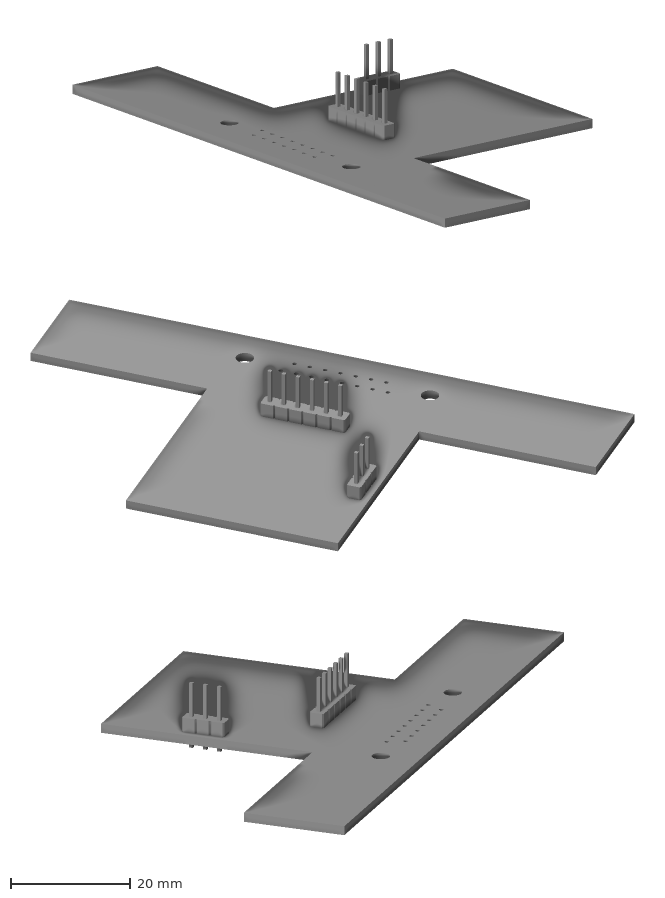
import cadquery as cq

board_length = 101.6
strip_depth = 18.1
tab_size = 38.1
board_thickness = 1.6

connector_x = -0.08
connector_y = 6.93
contact_hole_diameter = 0.76
contact_pitch = 2.75
row_spacing = 2.84
back_row_count = 8
front_row_count = 7
mounting_hole_count = 2
mounting_hole_diameter = 3.1
mounting_hole_spacing = 33.28
mounting_hole_y = 6.735

pin_pitch = 2.54
pin_width = 0.64
pin_above_housing = 6.0
pin_below_housing = 3.0
pin_hole_diameter = 1.0
housing_width = pin_pitch
housing_height = 2.54
housing_chamfer = 0.254

long_header_pins = 6
long_header_center = (0.0, 21.85)
short_header_pins = 3
short_header_center = (-16.5, 38.35)


def row_offsets(count, pitch):
    """Offsets of an evenly spaced row from its middle."""
    return [(i - (count - 1) / 2) * pitch for i in range(count)]


def row_along_x(center, count, pitch):
    return [(center[0] + offset, center[1]) for offset in row_offsets(count, pitch)]


def row_along_y(center, count, pitch):
    return [(center[0], center[1] + offset) for offset in row_offsets(count, pitch)]


def drill(body, points, diameter):
    """Cut through holes of one diameter at the given points."""
    drills = (
        cq.Workplane("XY")
        .pushPoints(points)
        .circle(diameter / 2)
        .extrude(-board_thickness)
    )
    return body.cut(drills)


def make_board(header_points):
    half_length = board_length / 2
    half_tab = tab_size / 2
    board = (
        cq.Workplane("XY")
        .moveTo(-half_length, 0)
        .lineTo(half_length, 0)
        .lineTo(half_length, strip_depth)
        .lineTo(half_tab, strip_depth)
        .lineTo(half_tab, strip_depth + tab_size)
        .lineTo(-half_tab, strip_depth + tab_size)
        .lineTo(-half_tab, strip_depth)
        .lineTo(-half_length, strip_depth)
        .close()
        .extrude(-board_thickness)
    )
    back_row = (connector_x, connector_y + row_spacing / 2)
    front_row = (connector_x, connector_y - row_spacing / 2)
    contacts = row_along_x(back_row, back_row_count, contact_pitch)
    contacts += row_along_x(front_row, front_row_count, contact_pitch)
    mountings = row_along_x((0, mounting_hole_y), mounting_hole_count, mounting_hole_spacing)

    board = drill(board, contacts, contact_hole_diameter)
    board = drill(board, mountings, mounting_hole_diameter)
    return drill(board, header_points, pin_hole_diameter)


def make_header(points):
    """Row of chamfered housing cells joined side by side, with a square pin through each."""
    housing_cell = (
        cq.Workplane("XY")
        .rect(housing_width, housing_width)
        .extrude(housing_height)
        .edges("|Z")
        .chamfer(housing_chamfer)
    )
    pin_length = pin_below_housing + housing_height + pin_above_housing
    pin = (
        cq.Workplane("XY")
        .workplane(offset=-pin_below_housing)
        .rect(pin_width, pin_width)
        .extrude(pin_length)
    )
    cell = housing_cell.union(pin)
    header = cq.Workplane("XY")
    for x, y in points:
        header = header.union(cell.translate((x, y, 0)))
    return header


long_header_points = row_along_x(long_header_center, long_header_pins, pin_pitch)
short_header_points = row_along_y(short_header_center, short_header_pins, pin_pitch)

board = make_board(long_header_points + short_header_points)
long_header = make_header(long_header_points)
short_header = make_header(short_header_points)

result = cq.Compound.makeCompound([board.val(), long_header.val(), short_header.val()])